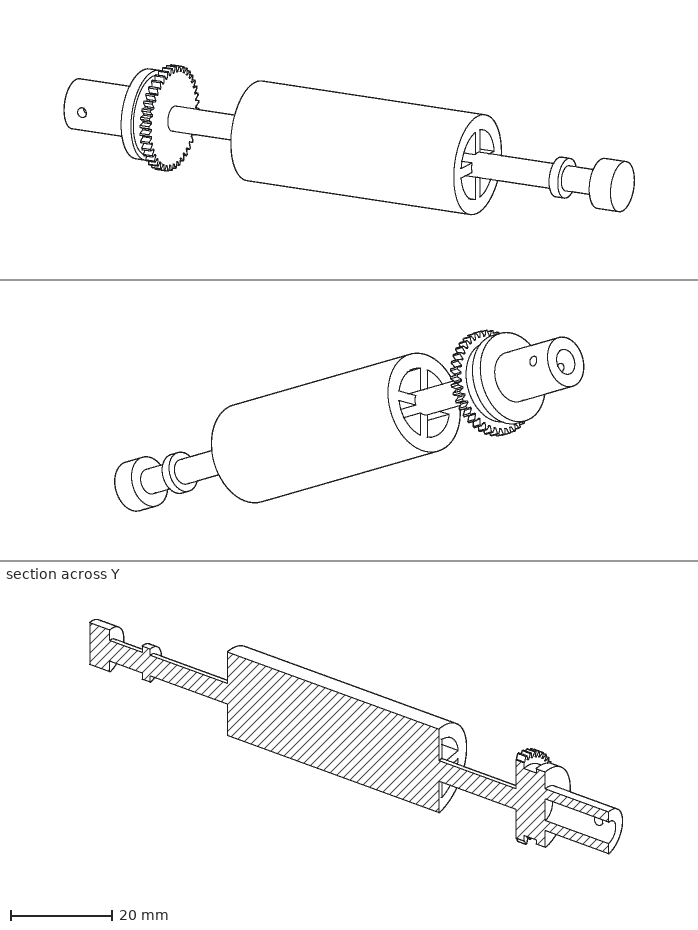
import cadquery as cq
import math

total_length = 122.6
shaft_diameter = 5.0

hub_diameter = 10.0
hub_length = 15.0
pin_hole_diameter = 2.0
pin_hole_x = 4.0

flange_diameter = 18.0
flange_width = 2.2
neck_diameter = 16.0
gear_x = 20.0

tooth_count = 40
gear_diameter = 21.0
root_diameter = 18.8
gear_width = 2.0
tooth_pitch = 2 * math.pi / tooth_count
tooth_tip_angle = 0.25 * tooth_pitch
tooth_root_angle = 0.8 * tooth_pitch

roller_x = 40.1
roller_length = 50.0
roller_diameter = 20.0
rim_inner_diameter = 14.0
spoke_count = 4
spoke_thickness = 2.0

collar_x = 108.3
collar_width = 2.0
collar_diameter = 8.0
cap_length = 4.8
cap_diameter = hub_diameter


def disc(x, length, diameter):
    """Cylinder on the X axis, starting at x."""
    return cq.Workplane("YZ", origin=(x, 0, 0)).circle(diameter / 2).extrude(length)


def polar_point(radius, angle):
    return (radius * math.cos(angle), radius * math.sin(angle))


def make_gear():
    """Straight-flanked gear with a tooth gap centred on each of the Y and Z axes."""
    outline = []
    for tooth in range(tooth_count):
        middle = (tooth + 0.5) * tooth_pitch
        outline.append(polar_point(root_diameter / 2, middle - tooth_root_angle / 2))
        outline.append(polar_point(gear_diameter / 2, middle - tooth_tip_angle / 2))
        outline.append(polar_point(gear_diameter / 2, middle + tooth_tip_angle / 2))
        outline.append(polar_point(root_diameter / 2, middle + tooth_root_angle / 2))
    return cq.Workplane("YZ", origin=(gear_x, 0, 0)).polyline(outline).close().extrude(gear_width)


def make_roller():
    """Tube with radial spokes, standing along Y and Z."""
    rim = disc(roller_x, roller_length, roller_diameter).cut(
        disc(roller_x, roller_length, rim_inner_diameter)
    )
    bar_span = (rim_inner_diameter + roller_diameter) / 2
    bar = cq.Workplane("YZ", origin=(roller_x, 0, 0)).rect(spoke_thickness, bar_span).extrude(roller_length)
    for index in range(spoke_count // 2):
        rim = rim.union(bar.rotate((0, 0, 0), (1, 0, 0), index * 360 / spoke_count))
    return rim


shaft = disc(hub_length, total_length - hub_length, shaft_diameter)
hub = disc(0, hub_length, hub_diameter).cut(disc(0, hub_length, shaft_diameter))
pin_hole = (
    cq.Workplane("XZ")
    .center(pin_hole_x, 0)
    .circle(pin_hole_diameter / 2)
    .extrude(hub_diameter, both=True)
)
flange = disc(hub_length, flange_width, flange_diameter)
neck = disc(hub_length, gear_x - hub_length, neck_diameter)
collar = disc(collar_x, collar_width, collar_diameter)
cap = disc(total_length - cap_length, cap_length, cap_diameter)

result = (
    shaft.union(hub.cut(pin_hole))
    .union(flange)
    .union(neck)
    .union(make_gear())
    .union(make_roller())
    .union(collar)
    .union(cap)
)